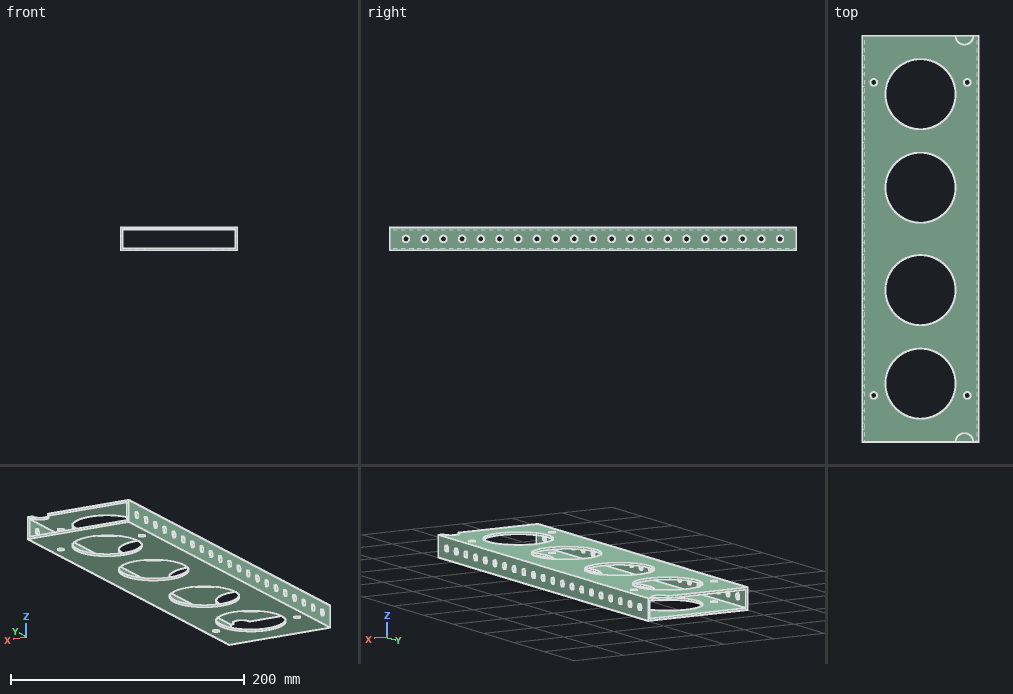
import cadquery as cq

length = 348.0
width = 100.0
height = 20.0
wall = 2.0

opening_diameter = 60.0
opening_end_distance = 50.0
opening_pair_spacing = 80.0

hole_diameter = 5.5
corner_hole_x = 40.0
corner_hole_y = 134.0
side_hole_count = 21
side_hole_end_distance = 14.0

notch_radius = 7.5
notch_x = 37.5


def make_tube():
    outer = cq.Workplane("XY").box(width, length, height)
    inner = cq.Workplane("XY").box(width - 2 * wall, length, height - 2 * wall)
    return outer.cut(inner)


def vertical_cutters(points, diameter):
    """Cylinders that pass through the top and bottom walls."""
    return cq.Workplane("XY").pushPoints(points).circle(diameter / 2).extrude(height, both=True)


def opening_cutters():
    outer_y = length / 2 - opening_end_distance
    inner_y = outer_y - opening_pair_spacing
    points = [(0, y) for y in (-outer_y, -inner_y, inner_y, outer_y)]
    return vertical_cutters(points, opening_diameter)


def corner_hole_cutters():
    points = [(sx * corner_hole_x, sy * corner_hole_y) for sx in (-1, 1) for sy in (-1, 1)]
    return vertical_cutters(points, hole_diameter)


def side_hole_cutters():
    """A row of cylinders that pass through both side walls."""
    pitch = (length - 2 * side_hole_end_distance) / (side_hole_count - 1)
    row = cq.Workplane("YZ").rarray(pitch, 3.5, side_hole_count, 1)
    return row.circle(hole_diameter / 2).extrude(width, both=True)


def notch_cutters():
    """Cylinders centred on the end edges, through the top wall only."""
    points = [(notch_x, -length / 2), (notch_x, length / 2)]
    inside_top = cq.Workplane("XY").workplane(offset=height / 2 - wall)
    return inside_top.pushPoints(points).circle(notch_radius).extrude(wall)


result = make_tube()
for cutters in (opening_cutters(), corner_hole_cutters(), side_hole_cutters(), notch_cutters()):
    result = result.cut(cutters)